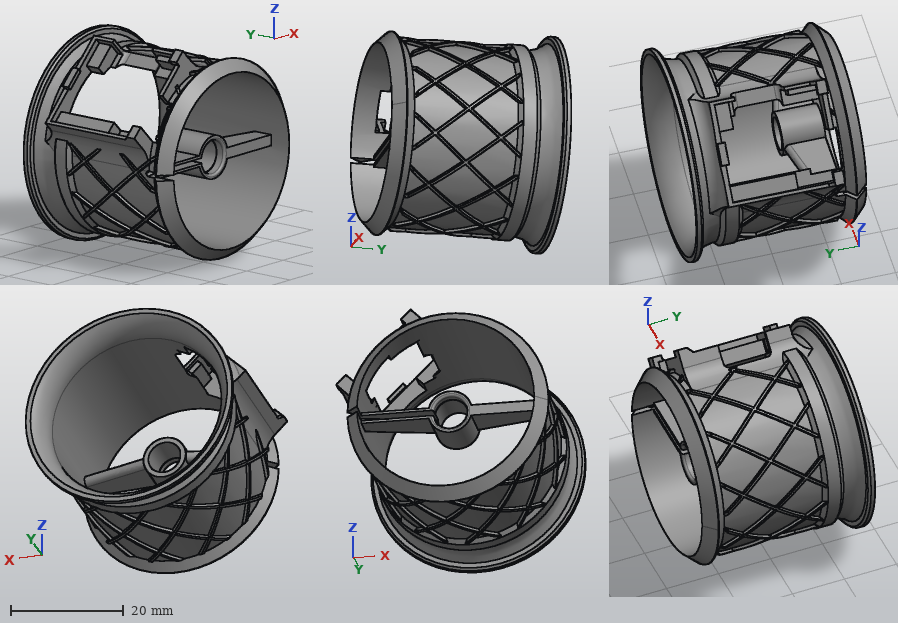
import cadquery as cq
import math


tube_length = 31.94
bore_radius = 16.0
body_radius = 16.6
lip_radius = 18.15
lip_front_y = 2.25
lip_rear_y = 2.4
lip_end_y = 4.0
band_radius = 17.4
band_front_y = 23.7
band_rear_y = 26.2
band_slope = band_radius - body_radius
neck_y = band_rear_y + band_slope
flange_radius = 38.6 / 2
flange_y = 30.73
flange_chamfer = 0.42

neck_wall = body_radius - bore_radius
neck_arc_radius = 5.7

rib_count = 11
rib_rings = 2
rib_outer_radius = 17.2
rib_width = 0.5
rib_root_radius = 15.0
rib_half_step_y = 6.0
rib_first_crossing_y = 7.85

frame_angle = -45
frame_half_width = 9.5
frame_top = 18.7
frame_front_y = 5.17
frame_rear_y = 26.35
side_wall = 0.65
end_wall = 0.9
side_blend_radius = 6.0
rear_blend_radius = 2.65
pocket_half_width = frame_half_width - side_wall
pocket_front_y = frame_front_y + end_wall
pocket_rear_y = frame_rear_y - end_wall
pocket_floor = 14.85
ledge_top = 17.5
long_ledge_edge = 6.0
long_ledge_front_y = 13.25
corner_ledge_edge = 3.9
corner_ledge_front_y = 22.7
strip_ledge_edge = 7.8
strip_ledge_rear_y = 11.8

lug_inner_edge = 7.0
lug_top = 19.79
lug_rear_y = 6.93
ramp_length = 0.95

tab_half_width = 2.0
tab_top = 19.5
tab_front_y = 24.98

notch_floor = 14.27
notch_front_y = 12.58
notch_rear_y = 21.67
notch_corner_radius = 1.0
notch_inner_edge = 5.0
notch_outer_edge = 11.5

slot_left = -lug_inner_edge
slot_right = 0.45
slot_front_y = 4.36
slot_rear_y = 10.0
slot_floor = 12.0
clear_top = 25.0

hub_radius = 3.95
hub_hole_radius = 6.12 / 2
hub_rear_hole_radius = 3.0
hub_step_depth = 1.8
hub_rounding = 0.45
hub_front_y = 4.2
hub_rear_y = 12.0
arm_half_thickness = 1.0
arm_slope = math.tan(math.radians(13.6))
arm_rear_y_at_axis = 12.7
groove_half_width = 0.5
groove_floor_thickness = 2.74
groove_ridge_y_at_axis = arm_rear_y_at_axis - groove_floor_thickness
arm_embed = 0.3


def revolve_about_y(sketch):
    """Full turn of an X-Y outline about the tube axis."""
    return sketch.close().revolve(360, (0, 0, 0), (0, 1, 0))


def cylinder_y(radius, y_start, y_end):
    return cq.Workplane("XZ", origin=(0, y_start, 0)).circle(radius).extrude(y_start - y_end)


def frame_box(u_min, u_max, y_min, y_max, n_min, n_max):
    return (
        cq.Workplane("XY", origin=(u_min, y_min, n_min))
        .box(u_max - u_min, y_max - y_min, n_max - n_min, centered=False)
    )


def neck_point(wall, distance):
    """Point on the flared neck; wall is the depth below the outer surface."""
    arc_radius = neck_arc_radius + wall
    rise = arc_radius - math.sqrt(arc_radius ** 2 - distance ** 2)
    return (body_radius - wall + rise, neck_y + distance)


def solid_tube():
    neck_end = neck_point(0, flange_y - neck_y)
    neck_middle = neck_point(0, (flange_y - neck_y) / 2)
    outline = (
        cq.Workplane("XY")
        .moveTo(0, 0)
        .lineTo(bore_radius, 0)
        .lineTo(lip_radius, lip_front_y)
        .lineTo(lip_radius, lip_rear_y)
        .lineTo(body_radius, lip_end_y)
        .lineTo(body_radius, band_front_y - band_slope)
        .lineTo(band_radius, band_front_y)
        .lineTo(band_radius, band_rear_y)
        .lineTo(body_radius, neck_y)
        .threePointArc(neck_middle, neck_end)
        .lineTo(flange_radius - flange_chamfer, flange_y)
        .lineTo(flange_radius, flange_y + flange_chamfer)
        .lineTo(flange_radius, tube_length)
        .lineTo(0, tube_length)
    )
    return revolve_about_y(outline)


def bore():
    """Straight bore that flares parallel to the neck at the rear."""
    flare_length = tube_length - neck_y
    outline = (
        cq.Workplane("XY")
        .lineTo(bore_radius, 0)
        .lineTo(bore_radius, neck_y)
        .threePointArc(neck_point(neck_wall, flare_length / 2), neck_point(neck_wall, flare_length))
        .lineTo(0, tube_length)
    )
    return revolve_about_y(outline)


def diamond_ribs():
    """Rings of X-shaped crosses whose tips meet to form the diamond pattern."""
    half_pitch = math.radians(180 / rib_count)
    tip_offset = rib_outer_radius * math.sin(half_pitch)
    lean = math.degrees(math.atan2(tip_offset, rib_half_step_y))
    bar_length = 2 * math.hypot(tip_offset, rib_half_step_y)
    bar = (
        cq.Workplane("XY", origin=(0, 0, rib_root_radius))
        .box(rib_width, bar_length, bore_radius, centered=(True, True, False))
    )
    cross = [bar.rotate((0, 0, 0), (0, 0, 1), angle).val() for angle in (lean, -lean)]
    pieces = []
    for ring in range(rib_rings):
        center_y = rib_first_crossing_y + 2 * rib_half_step_y * ring
        for index in range(rib_count):
            angle = -90 + 360 / rib_count * index
            pieces += [
                leg.translate(cq.Vector(0, center_y, 0)).rotate((0, 0, 0), (0, 1, 0), angle)
                for leg in cross
            ]
    lattice = cq.Workplane(pieces[0].fuse(*pieces[1:]))
    envelope = cylinder_y(rib_outer_radius, lip_end_y, band_front_y)
    envelope = envelope.faces("<Y").chamfer(rib_outer_radius - body_radius)
    return lattice.intersect(envelope)


def frame_outline(y_start, y_end):
    """Frame cross-section with its side blends, extruded along Y."""
    blend_u = frame_half_width + side_blend_radius
    reach = body_radius + side_blend_radius
    blend_n = math.sqrt(reach ** 2 - blend_u ** 2)
    foot_u = blend_u * body_radius / reach
    foot_n = blend_n * body_radius / reach
    middle_angle = math.pi + math.atan2(blend_n, blend_u) / 2
    mid_u = blend_u + side_blend_radius * math.cos(middle_angle)
    mid_n = blend_n + side_blend_radius * math.sin(middle_angle)
    return (
        cq.Workplane("XZ", origin=(0, y_start, 0))
        .moveTo(0, 0)
        .lineTo(foot_u, foot_n)
        .threePointArc((mid_u, mid_n), (frame_half_width, blend_n))
        .lineTo(frame_half_width, frame_top)
        .lineTo(-frame_half_width, frame_top)
        .lineTo(-frame_half_width, blend_n)
        .threePointArc((-mid_u, mid_n), (-foot_u, foot_n))
        .close()
        .extrude(y_start - y_end)
    )


def rear_blend():
    """Concave blend from the neck up to the rear face of the frame."""
    blend_end_y = frame_rear_y + rear_blend_radius
    foot_radius = neck_point(0, blend_end_y - neck_y)[0]
    diagonal = rear_blend_radius * (1 - math.sqrt(0.5))
    ring = revolve_about_y(
        cq.Workplane("XY")
        .moveTo(0, frame_rear_y)
        .lineTo(foot_radius + rear_blend_radius, frame_rear_y)
        .threePointArc(
            (foot_radius + diagonal, frame_rear_y + diagonal),
            (foot_radius, blend_end_y),
        )
        .lineTo(0, blend_end_y)
    )
    return frame_outline(frame_rear_y, blend_end_y).intersect(ring)


def lug(side):
    """Corner lug with the ramp that climbs to it along the side wall."""
    block = frame_box(lug_inner_edge, frame_half_width,
                      frame_front_y, lug_rear_y, frame_top, lug_top)
    ramp = (
        cq.Workplane("YZ", origin=(pocket_half_width, 0, 0))
        .polyline([(lug_rear_y, frame_top), (lug_rear_y + ramp_length, frame_top), (lug_rear_y, lug_top)])
        .close()
        .extrude(side_wall)
    )
    right_lug = block.union(ramp)
    return right_lug if side > 0 else right_lug.mirror("YZ")


def pocket():
    """Window opening, leaving the ledges along its walls."""
    opening = frame_box(-pocket_half_width, pocket_half_width,
                        pocket_front_y, pocket_rear_y, pocket_floor, clear_top)
    ledges = [
        (-pocket_half_width, -long_ledge_edge, long_ledge_front_y, pocket_rear_y),
        (corner_ledge_edge, pocket_half_width, corner_ledge_front_y, pocket_rear_y),
        (strip_ledge_edge, pocket_half_width, pocket_front_y, strip_ledge_rear_y),
    ]
    for u_min, u_max, y_min, y_max in ledges:
        opening = opening.cut(frame_box(u_min, u_max, y_min, y_max, pocket_floor, ledge_top))
    return opening


def side_notch():
    notch = frame_box(notch_inner_edge, notch_outer_edge,
                      notch_front_y, notch_rear_y, notch_floor, clear_top)
    return notch.edges("|X and <Z").fillet(notch_corner_radius)


def front_slot():
    return frame_box(slot_left, slot_right, slot_front_y, slot_rear_y, slot_floor, clear_top)


def turned(shape):
    return shape.rotate((0, 0, 0), (0, 1, 0), frame_angle)


def tapered_bar(half_thickness, front_y, rear_y_at_axis, reach, rounded):
    """Bar along -X whose rear edge slopes forward outward, ending round or in a 45 degree ridge."""
    def section(bar, distance):
        rear_y = rear_y_at_axis - arm_slope * distance
        shoulder_y = rear_y - half_thickness
        bar = bar.moveTo(front_y, -half_thickness).lineTo(shoulder_y, -half_thickness)
        if rounded:
            bar = bar.threePointArc((rear_y, 0), (shoulder_y, half_thickness))
        else:
            bar = bar.lineTo(rear_y, 0).lineTo(shoulder_y, half_thickness)
        return bar.lineTo(front_y, half_thickness).close()

    root = section(cq.Workplane("YZ"), 0)
    return section(root.workplane(offset=-reach), reach).loft(ruled=True)


def hub_and_arms():
    arm = tapered_bar(arm_half_thickness, hub_front_y, arm_rear_y_at_axis, bore_radius + arm_embed, True)
    arms = arm.union(arm.mirror("YZ")).intersect(
        cylinder_y(bore_radius + arm_embed, 0, tube_length)
    )
    return arms.union(cylinder_y(hub_radius, hub_front_y, hub_rear_y))


def hub_hole():
    step_y = hub_front_y + hub_step_depth
    return revolve_about_y(
        cq.Workplane("XY")
        .moveTo(0, hub_front_y)
        .lineTo(hub_hole_radius + hub_rounding, hub_front_y)
        .radiusArc((hub_hole_radius, hub_front_y + hub_rounding), hub_rounding)
        .lineTo(hub_hole_radius, step_y)
        .lineTo(hub_rear_hole_radius, step_y)
        .lineTo(hub_rear_hole_radius, tube_length)
        .lineTo(0, tube_length)
    )


shell = solid_tube().union(diamond_ribs())
shell = shell.union(turned(frame_outline(frame_front_y, frame_rear_y))).union(turned(rear_blend()))
shell = shell.cut(bore())
for cutter in (pocket(), side_notch(), front_slot()):
    shell = shell.cut(turned(cutter))
rear_tab = frame_box(-tab_half_width, tab_half_width, tab_front_y, frame_rear_y, frame_top, tab_top)
for addition in (lug(1), lug(-1), rear_tab):
    shell = shell.union(turned(addition))

groove = tapered_bar(groove_half_width, 0, groove_ridge_y_at_axis, flange_radius, False)
result = shell.union(hub_and_arms()).cut(groove).cut(hub_hole())